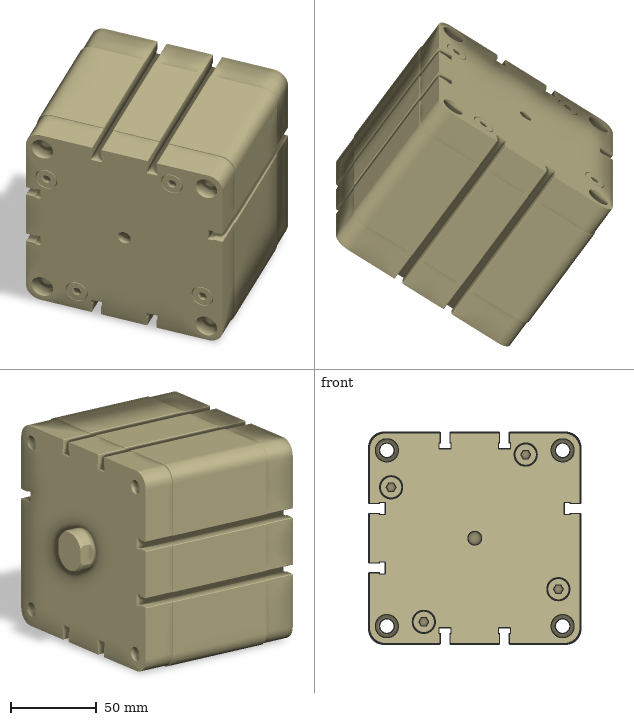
import cadquery as cq
import math

barrel_side = 124.0
cap_side = 123.0
corner_radius = 9.0
cap_length = 19.2
barrel_length = 68.1
body_length = barrel_length + 2 * cap_length

slot_offset = 17.4
slot_neck_width = 5.6
slot_pocket_width = 6.8
slot_pocket_top = 55.7
slot_floor = 52.3
slot_mouth_chamfer = 0.4

mount_offset = 51.3
mount_hole_diameter = 8.4
mount_counterbore_diameter = 13.5
mount_counterbore_depth = 8.0

screw_x = 29.8
screw_z = 48.9
screw_recess_diameter = 13.5
screw_head_diameter = 12.5
screw_recess_depth = 5.0
socket_flats = 5.0
socket_depth = 2.7

center_hole_diameter = 8.0
center_hole_depth = 4.5

total_length = 116.5
rod_diameter = 25.0
rod_flats_width = 22.0
rod_flats_length = 7.0
rod_tip_chamfer_length = 1.7
rod_tip_chamfer_depth = 0.9

front_y = -total_length / 2
rear_y = front_y + body_length
tip_y = total_length / 2


def plane_at(y):
    """XZ plane at the given Y whose normal points toward +Y (local x, y = X, -Z)."""
    return cq.Workplane(cq.Plane(origin=(0, y, 0), xDir=(1, 0, 0), normal=(0, 1, 0)))


def rounded_block(side, y, length):
    return plane_at(y).rect(side, side).extrude(length).edges("|Y").fillet(corner_radius)


def cylinder(x, z, diameter, y, length):
    return plane_at(y).center(x, -z).circle(diameter / 2).extrude(length)


def slot_cutter(half_side, y, length):
    """T-slot opening at the +Z face, centred on X = 0, with a chamfered mouth."""
    neck = slot_neck_width / 2
    pocket = slot_pocket_width / 2
    mouth = neck + slot_mouth_chamfer
    right_side = [
        (pocket, slot_floor),
        (pocket, slot_pocket_top),
        (neck, slot_pocket_top),
        (neck, half_side - slot_mouth_chamfer),
        (mouth, half_side),
    ]
    left_side = [(-x, z) for x, z in reversed(right_side)]
    outline = [(x, -z) for x, z in right_side + left_side]
    return plane_at(y).polyline(outline).close().extrude(length)


def body_section(side, y, length):
    """Rounded block with two slots in the top, bottom and left sides and one in the right."""
    section = rounded_block(side, y, length)
    cutter = slot_cutter(side / 2, y, length)
    for offset in (-slot_offset, slot_offset):
        top_slot = cutter.translate((offset, 0, 0))
        section = section.cut(top_slot)
        section = section.cut(top_slot.mirror("XY"))
        left_slot = cutter.rotate((0, 0, 0), (0, 1, 0), -90).translate((0, 0, offset))
        section = section.cut(left_slot)
        if offset > 0:
            section = section.cut(left_slot.mirror("YZ"))
    return section


def make_body():
    front_cap = body_section(cap_side, front_y, cap_length)
    barrel = body_section(barrel_side, front_y + cap_length, barrel_length)
    rear_cap = body_section(cap_side, rear_y - cap_length, cap_length)
    return front_cap.union(barrel).union(rear_cap)


def cut_mounting_holes(body):
    for x in (-mount_offset, mount_offset):
        for z in (-mount_offset, mount_offset):
            body = body.cut(cylinder(x, z, mount_hole_diameter, front_y, body_length))
            body = body.cut(cylinder(x, z, mount_counterbore_diameter, front_y, mount_counterbore_depth))
    return body


def cut_screws(body):
    """Flush screw heads, each inside a narrow ring gap and with a hexagon socket."""
    gap = cylinder(screw_x, screw_z, screw_recess_diameter, front_y, screw_recess_depth)
    gap = gap.cut(cylinder(screw_x, screw_z, screw_head_diameter, front_y, screw_recess_depth))
    socket_corners = socket_flats / math.cos(math.pi / 6)
    for quarter in range(4):
        turn = 90 * quarter
        angle = math.radians(turn)
        x = screw_x * math.cos(angle) - screw_z * math.sin(angle)
        z = screw_x * math.sin(angle) + screw_z * math.cos(angle)
        body = body.cut(gap.rotate((0, 0, 0), (0, 1, 0), -turn))
        socket = plane_at(front_y).center(x, -z).polygon(6, socket_corners).extrude(socket_depth)
        body = body.cut(socket)
    return body


def make_rod_end():
    """Round rod end with a chamfered tip and two wrench flats that run out at 45 degrees."""
    rod = cylinder(0, 0, rod_diameter, rear_y, tip_y - rear_y)
    rod = rod.faces(">Y").chamfer(rod_tip_chamfer_length, rod_tip_chamfer_depth)
    flat_x = rod_flats_width / 2
    flat_end_y = tip_y - rod_flats_length
    rod_radius = rod_diameter / 2
    runout_length = rod_radius - flat_x
    flat_cutter = (
        cq.Workplane("XY")
        .moveTo(flat_x, tip_y)
        .lineTo(flat_x, flat_end_y)
        .lineTo(rod_radius, flat_end_y - runout_length)
        .lineTo(rod_radius, tip_y)
        .close()
        .extrude(rod_radius, both=True)
    )
    return rod.cut(flat_cutter).cut(flat_cutter.mirror("YZ"))


body = make_body()
body = cut_mounting_holes(body)
body = cut_screws(body)
body = body.cut(cylinder(0, 0, center_hole_diameter, front_y, center_hole_depth))
result = body.union(make_rod_end())